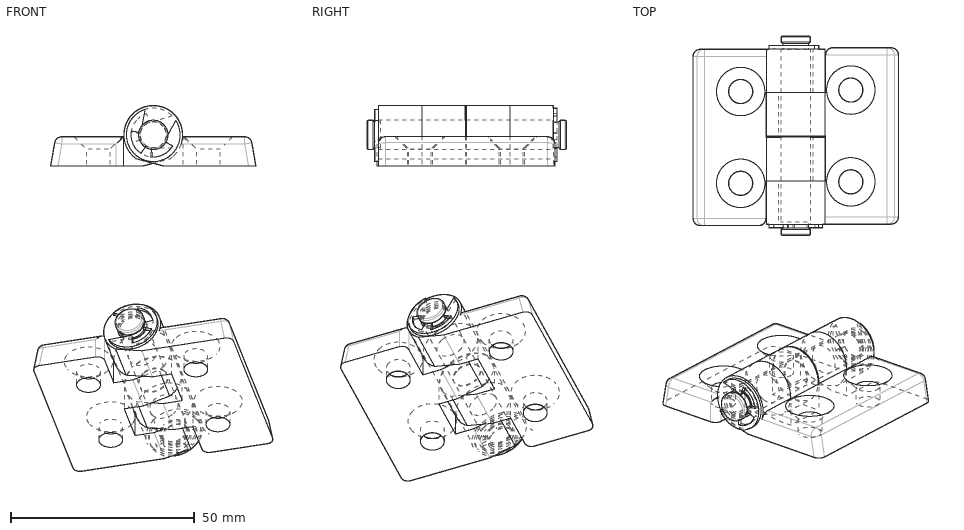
import cadquery as cq
import math

hinge_half_width = 27.985
leaf_length = 48.1
leaf_thickness = 8.0
leaf_draft = 10.0
edge_radius = 2.0

axis_height = 8.5
knuckle_radius = 8.0
knuckle_pitch = 12.0
knuckle_gap = 0.3
recess_clearance = 0.1
swing_angle = 15.0
swing_flat_distance = 7.5

screw_offset = 15.0
screw_pitch = 25.0
screw_diameter = 6.5
countersink_diameter = 13.2
countersink_angle = 90.0

pin_radius = 4.0
pin_front_end = -26.875
pin_back_end = 27.375
pin_end_radius = 0.4
pin_head_length = 2.0
groove_radius = 3.5
groove_width = 1.6
groove_chamfer = 0.4

clip_radius = 7.3
clip_thickness = 1.0
clip_mouth_half_width = 4.45
clip_mouth_depth = 5.74
clip_window_radius = 6.05
clip_tab_half_angle = 13.5
clip_window_end_angle = 80.0
front_clip_direction = 70.0
back_clip_direction = 7.5

knuckle_length = knuckle_pitch - knuckle_gap / 2
barrel_half_length = knuckle_pitch + knuckle_length
leaf_back = barrel_half_length
leaf_front = leaf_back - leaf_length
leaf_middle = (leaf_front + leaf_back) / 2
back_knuckle_front = leaf_back - knuckle_length
middle_knuckle_back = -knuckle_gap / 2
middle_knuckle_front = middle_knuckle_back - knuckle_length
recess_wall = -knuckle_radius - recess_clearance


def cylinder_along_y(radius, front, back):
    """Solid cylinder on the hinge axis between two Y positions."""
    return (
        cq.Workplane("XZ", origin=(0, front, axis_height))
        .circle(radius)
        .extrude(front - back)
    )


def leaf_plate():
    """Plate with a sloped outer side, rounded on its top edges and outer corners."""
    top_half_width = hinge_half_width - leaf_thickness * math.tan(math.radians(leaf_draft))
    plate = (
        cq.Workplane("XZ", origin=(0, leaf_back, 0))
        .moveTo(0, 0)
        .lineTo(-hinge_half_width, 0)
        .lineTo(-top_half_width, leaf_thickness)
        .lineTo(0, leaf_thickness)
        .close()
        .extrude(leaf_length)
    )
    outer_corners = plate.faces("<X").edges("<Y or >Y")
    top_edges = plate.faces(">Z").edges("<Y or >Y or <X")
    return plate.newObject(outer_corners.vals() + top_edges.vals()).fillet(edge_radius)


def recess(front, back):
    """Room beside the plate for one knuckle of the other leaf."""
    return cq.Workplane("XY", origin=(recess_wall, front, 0)).box(
        -recess_wall, back - front, leaf_thickness, centered=False
    )


def inner_corner_rounding():
    """Waste outside the rounded upright corner at the front end, beside the knuckles."""
    return (
        cq.Workplane("XY")
        .moveTo(recess_wall, leaf_front)
        .lineTo(recess_wall, leaf_front + edge_radius)
        .radiusArc((recess_wall - edge_radius, leaf_front), edge_radius)
        .close()
        .extrude(leaf_thickness)
    )


def swing_relief():
    """Waste below the sloped flat under the knuckles."""
    size = 4 * knuckle_radius
    return (
        cq.Workplane("XY")
        .box(size, 2 * leaf_length, size)
        .translate((0, 0, -swing_flat_distance - size / 2))
        .rotate((0, 0, 0), (0, 1, 0), -swing_angle)
        .translate((0, 0, axis_height))
    )


def screw_hole(y):
    """Countersunk hole through the plate."""
    radius = screw_diameter / 2
    sink_radius = countersink_diameter / 2
    sink_depth = (sink_radius - radius) / math.tan(math.radians(countersink_angle / 2))
    return (
        cq.Workplane("XZ")
        .moveTo(0, 0)
        .lineTo(radius, 0)
        .lineTo(radius, leaf_thickness - sink_depth)
        .lineTo(sink_radius, leaf_thickness)
        .lineTo(0, leaf_thickness)
        .close()
        .revolve(360, (0, 0, 0), (0, 1, 0))
        .translate((-screw_offset, y, 0))
    )


def build_leaf():
    """Leaf on the -X side; the leaf on the +X side is the same, turned half a turn."""
    leaf = leaf_plate()
    leaf = leaf.cut(recess(middle_knuckle_back, back_knuckle_front))
    leaf = leaf.cut(recess(leaf_front, middle_knuckle_front))
    leaf = leaf.cut(inner_corner_rounding())
    leaf = leaf.union(cylinder_along_y(knuckle_radius, back_knuckle_front, leaf_back))
    leaf = leaf.union(cylinder_along_y(knuckle_radius, middle_knuckle_front, middle_knuckle_back))
    leaf = leaf.cut(swing_relief())
    leaf = leaf.cut(cylinder_along_y(pin_radius, leaf_front, leaf_back))
    for side in (-1, 1):
        leaf = leaf.cut(screw_hole(leaf_middle + side * screw_pitch / 2))
    return leaf


left_leaf = build_leaf()
right_leaf = left_leaf.rotate((0, 0, 0), (0, 0, 1), 180)


def build_pin():
    """Round pin with rounded ends and a clip groove near each end."""
    half_length = (pin_back_end - pin_front_end) / 2
    groove_outer_wall = half_length - pin_head_length
    groove_inner_wall = groove_outer_wall - groove_width
    half_pin = (
        cq.Workplane("XY")
        .moveTo(0, 0)
        .lineTo(pin_radius, 0)
        .lineTo(pin_radius, groove_inner_wall)
        .lineTo(groove_radius, groove_inner_wall)
        .lineTo(groove_radius, groove_outer_wall)
        .lineTo(pin_radius - groove_chamfer, groove_outer_wall)
        .lineTo(pin_radius, groove_outer_wall + groove_chamfer)
        .lineTo(pin_radius, half_length)
        .lineTo(0, half_length)
        .close()
        .revolve(360, (0, 0, 0), (0, 1, 0))
        .faces(">Y")
        .edges()
        .fillet(pin_end_radius)
    )
    whole_pin = half_pin.union(half_pin.mirror("XZ"))
    return whole_pin.translate((0, (pin_front_end + pin_back_end) / 2, axis_height))


pin = build_pin()


def polar(radius, angle):
    return radius * math.cos(math.radians(angle)), radius * math.sin(math.radians(angle))


def clip_window(start, end):
    """Arched opening between two tabs of a clip, joined to the clip's bore."""
    middle = (start + end) / 2
    return (
        cq.Workplane("XZ")
        .moveTo(0, 0)
        .lineTo(*polar(clip_window_radius, start))
        .threePointArc(polar(clip_window_radius, middle), polar(clip_window_radius, end))
        .close()
        .extrude(-clip_thickness)
    )


def build_clip(mouth_direction, front):
    """E-shaped clip whose three tabs sit in a pin groove; its front face is at the given Y."""
    mouth_flare = (clip_mouth_half_width - groove_radius) / clip_mouth_depth
    mouth_end_half_width = groove_radius + mouth_flare * clip_radius
    clip = cq.Workplane("XZ").circle(clip_radius).circle(groove_radius).extrude(-clip_thickness)
    mouth = (
        cq.Workplane("XZ")
        .moveTo(0, -groove_radius)
        .lineTo(clip_radius, -mouth_end_half_width)
        .lineTo(clip_radius, mouth_end_half_width)
        .lineTo(0, groove_radius)
        .close()
        .extrude(-clip_thickness)
    )
    clip = clip.cut(mouth)
    for side in (-1, 1):
        start = 180 + side * clip_tab_half_angle
        end = 180 + side * clip_window_end_angle
        clip = clip.cut(clip_window(start, end))
    clip = clip.rotate((0, 0, 0), (0, 1, 0), -mouth_direction)
    return clip.translate((0, front, axis_height))


front_clip = build_clip(front_clip_direction, -barrel_half_length - clip_thickness)
back_clip = build_clip(back_clip_direction, barrel_half_length)

result = cq.Compound.makeCompound(
    [left_leaf.val(), right_leaf.val(), pin.val(), front_clip.val(), back_clip.val()]
)